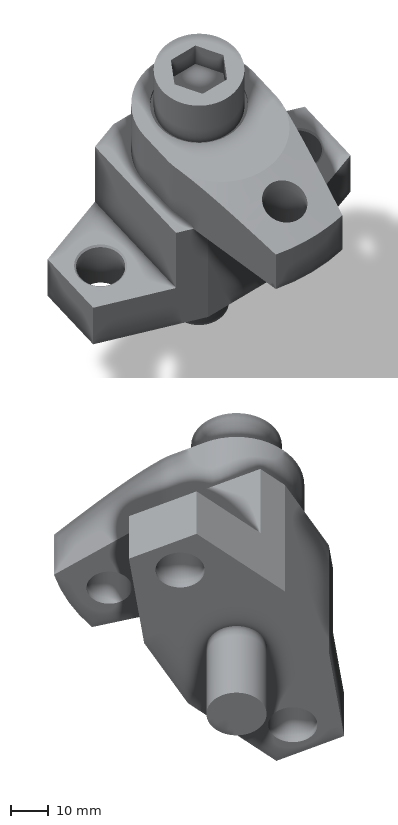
import cadquery as cq
import math


base_height = 40.0
flange_height = 16.0
base_half_width = 21.0
base_half_length = 42.5
base_end_half_width = 10.1
base_side_half_length = 12.6
block_half_length = 21.0
mount_hole_spacing = 65.0
mount_hole_diameter = 13.0
mount_hole_chamfer = 0.5

arm_top = 61.0
underside_clearance = 1.0
arm_radius = 18.0
nose_center_x = 10.0
tip_radius = 50.0
tip_half_width = 11.0
taper_angle = math.radians(15)
tip_hole_x = 38.0
tip_hole_diameter = 12.0
counterbore_diameter = 26.0
counterbore_depth = 1.0
collar_diameter = 33.0
relief_top_radius = 25.1
relief_bottom_radius = 25.9

screw_diameter = 16.0
screw_bottom = -25.0
screw_top = 76.0
head_diameter = 24.0
socket_across_flats = 14.0
socket_depth = 8.0


def cylinder(diameter, bottom, top, x=0, y=0):
    return cq.Workplane("XY", origin=(x, y, bottom)).circle(diameter / 2).extrude(top - bottom)


def make_base():
    right_side = [
        (base_end_half_width, -base_half_length),
        (base_half_width, -base_side_half_length),
        (base_half_width, base_side_half_length),
        (base_end_half_width, base_half_length),
    ]
    left_side = [(-x, y) for x, y in reversed(right_side)]
    body = cq.Workplane("XY").polyline(right_side + left_side).close().extrude(base_height)

    end_length = base_half_length - block_half_length
    for side in (-1, 1):
        end_y = side * (block_half_length + end_length / 2)
        step = (
            cq.Workplane("XY", origin=(0, end_y, flange_height))
            .rect(2 * base_half_width, end_length)
            .extrude(base_height - flange_height)
        )
        body = body.cut(step)

    for side in (-1, 1):
        hole_y = side * mount_hole_spacing / 2
        hole = cylinder(mount_hole_diameter, 0, flange_height, y=hole_y)
        rim = cq.Workplane(
            cq.Solid.makeCone(
                mount_hole_diameter / 2,
                mount_hole_diameter / 2 + mount_hole_chamfer,
                mount_hole_chamfer,
                pnt=cq.Vector(0, hole_y, flange_height - mount_hole_chamfer),
            )
        )
        body = body.cut(hole).cut(rim)

    return body.cut(cylinder(screw_diameter, 0, base_height))


def arm_blank():
    """Rounded hub whose sides run tangentially from the nose arc to the tip."""
    tip_x = math.sqrt(tip_radius**2 - tip_half_width**2)
    reach = tip_x - nose_center_x
    tangent_angle = math.atan2(tip_half_width, reach) + math.acos(
        arm_radius / math.hypot(reach, tip_half_width)
    )
    middle_angle = (tangent_angle + math.pi / 2) / 2

    def nose_point(angle, side):
        return (nose_center_x + arm_radius * math.cos(angle), side * arm_radius * math.sin(angle))

    return (
        cq.Workplane("XY", origin=(0, 0, base_height))
        .moveTo(0, -arm_radius)
        .lineTo(nose_center_x, -arm_radius)
        .threePointArc(nose_point(middle_angle, -1), nose_point(tangent_angle, -1))
        .lineTo(tip_x, -tip_half_width)
        .threePointArc((tip_radius, 0), (tip_x, tip_half_width))
        .lineTo(*nose_point(tangent_angle, 1))
        .threePointArc(nose_point(middle_angle, 1), (nose_center_x, arm_radius))
        .lineTo(0, arm_radius)
        .threePointArc((-arm_radius, 0), (0, -arm_radius))
        .close()
        .extrude(arm_top - base_height)
    )


def taper_envelope():
    """Flat-topped cone about the nose center; its flat covers the whole hub."""
    outer_radius = tip_radius
    drop = (outer_radius - arm_radius) * math.tan(taper_angle)
    slope = (
        cq.Workplane("XZ", origin=(nose_center_x, 0, 0))
        .polyline(
            [
                (arm_radius, arm_top),
                (outer_radius, arm_top - drop),
                (outer_radius, base_height),
                (0, base_height),
                (0, arm_top),
            ]
        )
        .close()
        .revolve(360, (0, 0, 0), (0, 1, 0))
    )
    hub_extent = 2 * arm_radius
    hub = (
        cq.Workplane("XY", origin=(nose_center_x - hub_extent / 2, 0, base_height))
        .rect(hub_extent, 2 * arm_radius)
        .extrude(arm_top - base_height)
    )
    return slope.union(hub)


def underside_relief():
    """Ring that lets the arm swing over the base, with a sloped outer wall."""
    collar_radius = collar_diameter / 2
    relief_top = base_height + underside_clearance
    return (
        cq.Workplane("XZ")
        .polyline(
            [
                (collar_radius, base_height),
                (relief_bottom_radius, base_height),
                (relief_top_radius, relief_top),
                (collar_radius, relief_top),
            ]
        )
        .close()
        .revolve(360, (0, 0, 0), (0, 1, 0))
    )


def make_arm():
    body = arm_blank().intersect(taper_envelope()).cut(underside_relief())
    body = body.cut(cylinder(tip_hole_diameter, base_height, arm_top, x=tip_hole_x))
    body = body.cut(cylinder(screw_diameter, base_height, arm_top))
    return body.cut(cylinder(counterbore_diameter, arm_top - counterbore_depth, arm_top))


def make_screw():
    head_bottom = arm_top - counterbore_depth
    shank = cylinder(screw_diameter, screw_bottom, head_bottom)
    head = cylinder(head_diameter, head_bottom, screw_top)
    socket_across_corners = socket_across_flats / math.cos(math.pi / 6)
    socket = (
        cq.Workplane("XY", origin=(0, 0, screw_top))
        .polygon(6, socket_across_corners)
        .extrude(-socket_depth)
        .rotate((0, 0, 0), (0, 0, 1), 30)
    )
    return shank.union(head).cut(socket)


base = make_base()
arm = make_arm()
screw = make_screw()

result = cq.Compound.makeCompound([base.val(), arm.val(), screw.val()])